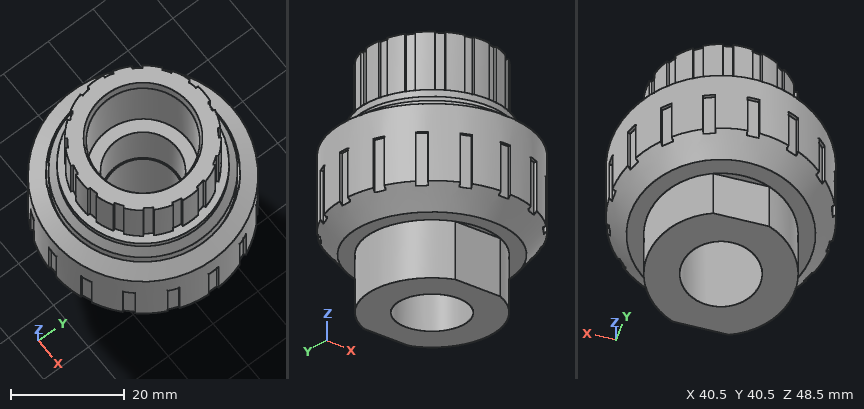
import cadquery as cq


total_height = 48.5
nut_bottom_z = 11.45
nut_shoulder_z = 15.8
nut_slot_top_z = 25.45
joint_z = 20.35
nut_rim_z = 31.0
nut_top_z = 32.45
thread_recess = 1.95
thread_top_z = nut_top_z - thread_recess
neck_top_z = 33.4
collar_bottom_z = 34.95
barrel_bottom_z = 36.35

lower_diameter = 27.15
lower_across_flats = 25.1
lower_bore_diameter = 14.5

nut_diameter = 40.5
nut_bottom_diameter = 33.25
nut_opening_diameter = 34.2
nut_lip_diameter = lower_diameter
nut_slot_count = 16
nut_slot_width = 2.2
nut_slot_depth = 0.6

neck_diameter = 33.25
collar_diameter = 30.3
barrel_root_diameter = 26.6
rib_diameter = 27.5
rib_count = 16
rib_width = 3.5
upper_bore_diameter = 15.0
socket_diameter = 20.0
socket_mouth_diameter = 20.95
socket_mouth_depth = 1.45
socket_depth = 16.0


def cylinder(diameter, bottom_z, top_z):
    return cq.Workplane("XY").workplane(offset=bottom_z).circle(diameter / 2).extrude(top_z - bottom_z)


def cone(bottom_diameter, top_diameter, bottom_z, top_z):
    return (
        cq.Workplane("XY")
        .workplane(offset=bottom_z)
        .circle(bottom_diameter / 2)
        .workplane(offset=top_z - bottom_z)
        .circle(top_diameter / 2)
        .loft(ruled=True)
    )


def make_lower_end():
    """Round end with two wrench flats facing -Y and +Y, and a flange held inside the nut."""
    flats = cq.Workplane("XY").box(
        lower_diameter, lower_across_flats, nut_bottom_z, centered=(True, True, False)
    )
    tail = cylinder(lower_diameter, 0, nut_bottom_z).intersect(flats)
    neck = cylinder(nut_lip_diameter, nut_bottom_z, nut_shoulder_z)
    flange = cylinder(nut_opening_diameter, nut_shoulder_z, joint_z)
    bore = cylinder(lower_bore_diameter, 0, joint_z)
    return tail.union(neck).union(flange).cut(bore)


def make_nut():
    """Nut with two cones, an inner bottom lip, and grip slots that run out on the lower cone."""
    bottom_cone = cone(nut_bottom_diameter, nut_diameter, nut_bottom_z, nut_shoulder_z)
    band = cylinder(nut_diameter, nut_shoulder_z, nut_rim_z)
    top_cone = cone(nut_diameter, nut_opening_diameter, nut_rim_z, nut_top_z)
    nut = bottom_cone.union(band).union(top_cone)
    nut = nut.cut(cylinder(nut_lip_diameter, nut_bottom_z, nut_shoulder_z))
    nut = nut.cut(cylinder(nut_opening_diameter, nut_shoulder_z, nut_top_z))

    slot_cutter_depth = 2 * nut_slot_depth
    slots = (
        cq.Workplane("XY")
        .workplane(offset=nut_bottom_z)
        .polarArray(nut_diameter / 2, 0, 360, nut_slot_count)
        .rect(slot_cutter_depth, nut_slot_width)
        .extrude(nut_slot_top_z - nut_bottom_z)
    )
    return nut.cut(slots)


def make_ribbed_barrel():
    """Cylinder with evenly spaced parallel-sided ribs along it."""
    height = total_height - barrel_bottom_z
    barrel = cylinder(barrel_root_diameter, barrel_bottom_z, total_height)
    rib_envelope = cylinder(rib_diameter, barrel_bottom_z, total_height)
    rib_pair = (
        cq.Workplane("XY")
        .workplane(offset=barrel_bottom_z)
        .rect(rib_diameter, rib_width)
        .extrude(height)
        .intersect(rib_envelope)
    )
    for index in range(rib_count // 2):
        barrel = barrel.union(rib_pair.rotate((0, 0, 0), (0, 0, 1), index * 360 / rib_count))
    return barrel


def make_upper_end():
    """Threaded base inside the nut, stepped collar and ribbed barrel with a pipe socket."""
    thread = cylinder(nut_opening_diameter, joint_z, thread_top_z)
    neck = cylinder(neck_diameter, thread_top_z, neck_top_z)
    shoulder = cone(neck_diameter, collar_diameter, neck_top_z, collar_bottom_z)
    collar = cylinder(collar_diameter, collar_bottom_z, barrel_bottom_z)
    body = thread.union(neck).union(shoulder).union(collar).union(make_ribbed_barrel())

    bore = cylinder(upper_bore_diameter, joint_z, total_height)
    socket = cylinder(socket_diameter, total_height - socket_depth, total_height)
    mouth = cone(socket_diameter, socket_mouth_diameter, total_height - socket_mouth_depth, total_height)
    return body.cut(bore).cut(socket).cut(mouth)


lower_end = make_lower_end()
nut = make_nut()
upper_end = make_upper_end()

result = cq.Compound.makeCompound([lower_end.solids().val(), nut.solids().val(), upper_end.solids().val()])